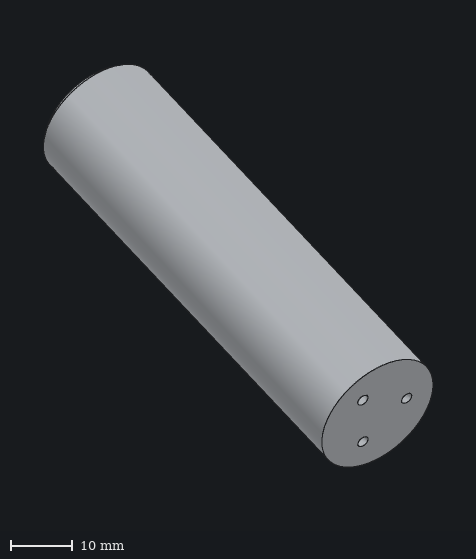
import cadquery as cq
import math

length = 80.0
outer_diameter = 22.0
chamfer = 1.1

channel_count = 3
channel_diameter = 2.0
channel_circle_radius = 5.8
start_angle = -0.5
helix_angle = 30.0
channel_twist = math.degrees(length * math.tan(math.radians(helix_angle)) / (outer_diameter / 2))

rod = cq.Workplane("YZ").circle(outer_diameter / 2).extrude(length)
rod = rod.faces("<X").chamfer(chamfer)

channels = (
    cq.Workplane("YZ")
    .polarArray(channel_circle_radius, start_angle, 360, channel_count)
    .circle(channel_diameter / 2)
    .twistExtrude(length, channel_twist)
)

result = rod.cut(channels)